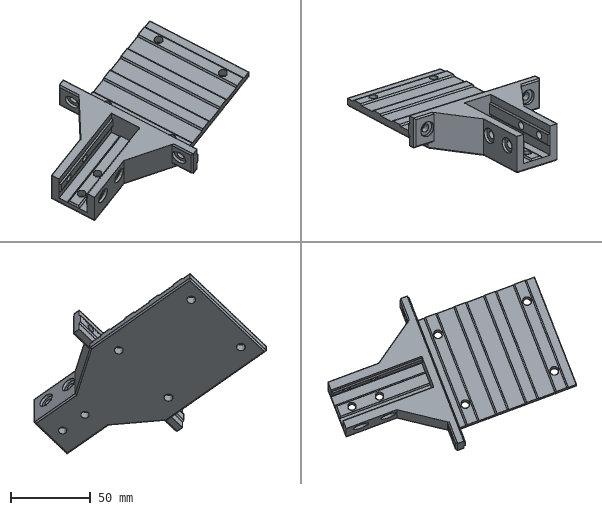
import cadquery as cq

total_length = 147
total_height = 25.6
edge_chamfer = 1.0

plate_width = 74.0
floor_thickness = 5.5
arm_width = 32.0
arm_length = 34.1
taper_end = 64.4
channel_width = 21.0
channel_length = 61.0
channel_center_z = floor_thickness + channel_width / 2

flange_width = 100
flange_thickness = 5.5
flange_back = channel_length + flange_thickness
flange_bottom = 5.0
flange_hole_drop = 10.0
flange_hole_z = total_height - flange_hole_drop
flange_hole_spacing = 80.0

rib_base = 9.0
rib_height = 1.0
rib_crest = rib_base - 2 * rib_height
rib_count = 4
rib_pitch = 20.0
first_rib_from_end = 10.0

arm_hole_diameter = 5.1
flange_hole_diameter = 5.3
plate_hole_diameter = 5.5
counterbore_diameter = 10.0
counterbore_depth = 2.0
arm_hole_places = (10.0, 28.5)
plate_hole_spacing = 48.0

plate_rib_places = [total_length - first_rib_from_end - i * rib_pitch for i in range(rib_count)]
plate_hole_places = (plate_rib_places[0], plate_rib_places[-1])


def make_rib(length, origin, along, across):
    """Trapezoid rib standing on origin, running in `along`, its base laid in `across`."""
    plane = cq.Plane(origin=origin, xDir=across, normal=along)
    outline = [
        (-rib_base / 2, 0),
        (rib_base / 2, 0),
        (rib_crest / 2, rib_height),
        (-rib_crest / 2, rib_height),
    ]
    return cq.Workplane(plane).polyline(outline).close().extrude(length)


def make_hole(diameter, depth, origin, direction):
    """Cylinder that starts at origin and runs in `direction`."""
    plane = cq.Plane(origin=origin, normal=direction)
    return cq.Workplane(plane).circle(diameter / 2).extrude(depth)


def join(shapes):
    """Fuse a list of shapes into one."""
    joined = shapes[0]
    for shape in shapes[1:]:
        joined = joined.union(shape)
    return joined


def make_base():
    """Full-length outline with a chamfered underside, cut down to a plate behind the flange."""
    half_outline = [
        (arm_width / 2, 0),
        (arm_width / 2, arm_length),
        (plate_width / 2, taper_end),
        (plate_width / 2, total_length),
    ]
    mirrored = [(-x, y) for x, y in reversed(half_outline)]
    base = cq.Workplane("XY").polyline(half_outline + mirrored).close().extrude(total_height)
    base = base.faces("<Z").edges().chamfer(edge_chamfer)
    above_plate = cq.Workplane("XY").box(
        plate_width, total_length - flange_back, total_height - floor_thickness, centered=(True, False, False)
    )
    return base.cut(above_plate.translate((0, flange_back, floor_thickness)))


def make_flange():
    """Upright cross flange, chamfered around its front face, with a rib along its back."""
    flange = cq.Workplane("XY").box(
        flange_width, flange_thickness, total_height - flange_bottom, centered=(True, False, False)
    )
    flange = flange.faces("<Y").edges().chamfer(edge_chamfer)
    flange = flange.translate((0, channel_length, flange_bottom))
    rib_start = (flange_width / 2, flange_back, flange_hole_z)
    return flange.union(make_rib(flange_width, rib_start, (-1, 0, 0), (0, 0, 1)))


def make_plate_ribs():
    """Ribs across the full width of the plate."""
    ribs = [
        make_rib(plate_width, (plate_width / 2, y, floor_thickness), (-1, 0, 0), (0, -1, 0))
        for y in plate_rib_places
    ]
    return join(ribs)


def make_channel():
    """Space to remove from the arm: a channel open at the front and top, less its three ribs."""
    channel = cq.Workplane("XY").box(
        channel_width, channel_length, total_height - floor_thickness, centered=(True, False, False)
    )
    channel = channel.translate((0, 0, floor_thickness))

    wall_x = channel_width / 2
    rib_feet = [
        ((0, 0, floor_thickness), (-1, 0, 0)),
        ((-wall_x, 0, channel_center_z), (0, 0, 1)),
        ((wall_x, 0, channel_center_z), (0, 0, -1)),
    ]
    for origin, across in rib_feet:
        channel = channel.cut(make_rib(channel_length, origin, (0, 1, 0), across))

    mouth_plane = cq.Plane(origin=(0, 0, channel_center_z), normal=(0, 1, 0))
    mouth = cq.Workplane(mouth_plane).rect(channel_width, channel_width).extrude(rib_height, taper=45)
    return channel.union(mouth)


def make_arm_holes():
    """Screw holes through the channel floor and, counterbored outside, through both side walls."""
    holes = []
    for y in arm_hole_places:
        holes.append(make_hole(arm_hole_diameter, channel_center_z, (0, y, 0), (0, 0, 1)))
        left_face = (-arm_width / 2, y, channel_center_z)
        holes.append(make_hole(arm_hole_diameter, arm_width, left_face, (1, 0, 0)))
        for side in (-1, 1):
            outer_face = (side * arm_width / 2, y, channel_center_z)
            holes.append(make_hole(counterbore_diameter, counterbore_depth, outer_face, (-side, 0, 0)))
    return join(holes)


def make_flange_holes():
    """Screw holes through the flange ears, counterbored at the front."""
    depth = flange_thickness + rib_height
    holes = []
    for side in (-1, 1):
        front = (side * flange_hole_spacing / 2, channel_length, flange_hole_z)
        holes.append(make_hole(flange_hole_diameter, depth, front, (0, 1, 0)))
        holes.append(make_hole(counterbore_diameter, counterbore_depth, front, (0, 1, 0)))
    return join(holes)


def make_plate_holes():
    """Plain screw holes through the first and last plate ribs."""
    depth = floor_thickness + rib_height
    holes = [
        make_hole(plate_hole_diameter, depth, (side * plate_hole_spacing / 2, y, 0), (0, 0, 1))
        for side in (-1, 1)
        for y in plate_hole_places
    ]
    return join(holes)


result = (
    make_base()
    .union(make_flange())
    .union(make_plate_ribs())
    .cut(make_channel())
    .cut(make_arm_holes())
    .cut(make_flange_holes())
    .cut(make_plate_holes())
)